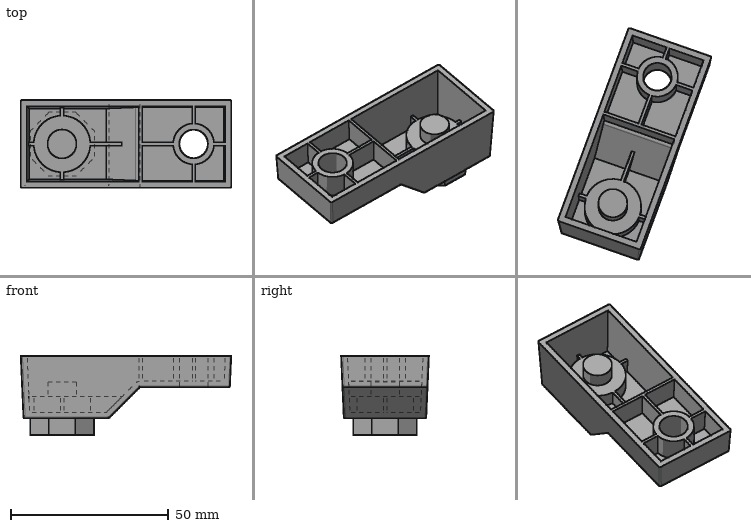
import cadquery as cq
import math

LENGTH = 67.0
WIDTH = 28.0
DEEP_HEIGHT = 19.9
SHALLOW_HEIGHT = 10.0
WALL = 2.0
DRAFT = 2.5
EDGE_RADIUS = 0.5
PEG_TO_END = 13.15
RAMP_START = 28.0
RAMP_END = 37.9

PARTITION_TO_END = 38.1
TUBE_TO_END = 55.0

X_MIN = -PEG_TO_END
X_MAX = X_MIN + LENGTH
X_RAMP_START = X_MIN + RAMP_START
X_RAMP_END = X_MIN + RAMP_END
PARTITION_X = X_MIN + PARTITION_TO_END
TUBE_X = X_MIN + TUBE_TO_END

RIB_THICKNESS = 1.0

PAD_DIAMETER = 18.0
PAD_DEPTH = 12.9
PEG_DIAMETER = 9.2
PEG_DEPTH = 8.2

TUBE_DIAMETER = 13.0
HOLE_DIAMETER = 9.0

FOOT_SIDES = 8
FOOT_ACROSS_FLATS = 20.35
FOOT_HEIGHT = 5.3


def drafted_block(length, width, height):
    """Rectangle at the rim plane, narrowing downwards, centred on the housing."""
    return (
        cq.Workplane("XY")
        .center((X_MIN + X_MAX) / 2, 0)
        .rect(length, width)
        .extrude(-height, taper=DRAFT)
    )


def outer_block():
    """Drafted block cut to the stepped underside, with rounded outer edges."""
    profile = (
        cq.Workplane("XZ")
        .moveTo(X_MIN, 0)
        .lineTo(X_MIN, -DEEP_HEIGHT)
        .lineTo(X_RAMP_START, -DEEP_HEIGHT)
        .lineTo(X_RAMP_END, -SHALLOW_HEIGHT)
        .lineTo(X_MAX, -SHALLOW_HEIGHT)
        .lineTo(X_MAX, 0)
        .close()
        .extrude(WIDTH / 2, both=True)
    )
    block = drafted_block(LENGTH, WIDTH, DEEP_HEIGHT).intersect(profile)
    below_rim = cq.selectors.StringSyntaxSelector("not >Z")
    ramp_ends = cq.selectors.BoxSelector(
        (X_RAMP_START - WALL, -WALL, -DEEP_HEIGHT - WALL),
        (X_RAMP_END + WALL, WALL, -SHALLOW_HEIGHT + WALL),
    )
    rounded = block.edges(cq.selectors.SubtractSelector(below_rim, ramp_ends))
    return rounded.fillet(EDGE_RADIUS)


def cavity():
    """Inside of the shell: one wall thickness in from the outer block."""
    ramp_angle = math.atan2(DEEP_HEIGHT - SHALLOW_HEIGHT, RAMP_END - RAMP_START)
    floor_deep = -DEEP_HEIGHT + WALL
    floor_shallow = -SHALLOW_HEIGHT + WALL

    def around_ramp_head(angle):
        """Point one wall thickness from the ramp head, leaning back by angle."""
        return (
            X_RAMP_END - WALL * math.sin(angle),
            -SHALLOW_HEIGHT + WALL * math.cos(angle),
        )

    profile = (
        cq.Workplane("XZ")
        .moveTo(X_MIN, 0)
        .lineTo(X_MIN, floor_deep)
        .lineTo(X_RAMP_START - WALL * math.tan(ramp_angle / 2), floor_deep)
        .lineTo(*around_ramp_head(ramp_angle))
        .threePointArc(around_ramp_head(ramp_angle / 2), around_ramp_head(0))
        .lineTo(X_MAX, floor_shallow)
        .lineTo(X_MAX, 0)
        .close()
        .extrude(WIDTH / 2, both=True)
    )
    return drafted_block(LENGTH - 2 * WALL, WIDTH - 2 * WALL, DEEP_HEIGHT).intersect(profile)


def upright_plate(x_from, x_to, y_size, top_depth):
    """Plate centred on Y = 0, reaching from top_depth down to the deep underside."""
    return (
        cq.Workplane("XY", origin=((x_from + x_to) / 2, 0, -DEEP_HEIGHT))
        .rect(x_to - x_from, y_size)
        .extrude(DEEP_HEIGHT - top_depth)
    )


def upright_cylinder(x, diameter, top_depth):
    """Cylinder from top_depth down to the deep underside."""
    return (
        cq.Workplane("XY", origin=(x, 0, -DEEP_HEIGHT))
        .circle(diameter / 2)
        .extrude(DEEP_HEIGHT - top_depth)
    )


def cross_rib(x, top_depth):
    """Rib across the full width at x."""
    return upright_plate(x - RIB_THICKNESS / 2, x + RIB_THICKNESS / 2, WIDTH, top_depth)


def pocket_features():
    """Everything that stands inside the cavity."""
    low_rib = upright_plate(X_MIN, PARTITION_X, RIB_THICKNESS, PAD_DEPTH)
    tall_rib = upright_plate(PARTITION_X, X_MAX, RIB_THICKNESS, 0)
    return (
        low_rib
        .union(cross_rib(0, PAD_DEPTH))
        .union(upright_cylinder(0, PAD_DIAMETER, PAD_DEPTH))
        .union(upright_cylinder(0, PEG_DIAMETER, PEG_DEPTH))
        .union(cross_rib(PARTITION_X, 0))
        .union(tall_rib)
        .union(cross_rib(TUBE_X, 0))
        .union(upright_cylinder(TUBE_X, TUBE_DIAMETER, 0))
    )


def foot():
    """Octagonal foot under the peg, flats facing X and Y."""
    across_corners = FOOT_ACROSS_FLATS / math.cos(math.pi / FOOT_SIDES)
    return (
        cq.Workplane("XY", origin=(0, 0, -DEEP_HEIGHT))
        .transformed(rotate=(0, 0, 180 / FOOT_SIDES))
        .polygon(FOOT_SIDES, across_corners)
        .extrude(-FOOT_HEIGHT)
    )


inside = cavity()
housing = outer_block().cut(inside).union(pocket_features().intersect(inside))
result = housing.union(foot()).cut(upright_cylinder(TUBE_X, HOLE_DIAMETER, 0))